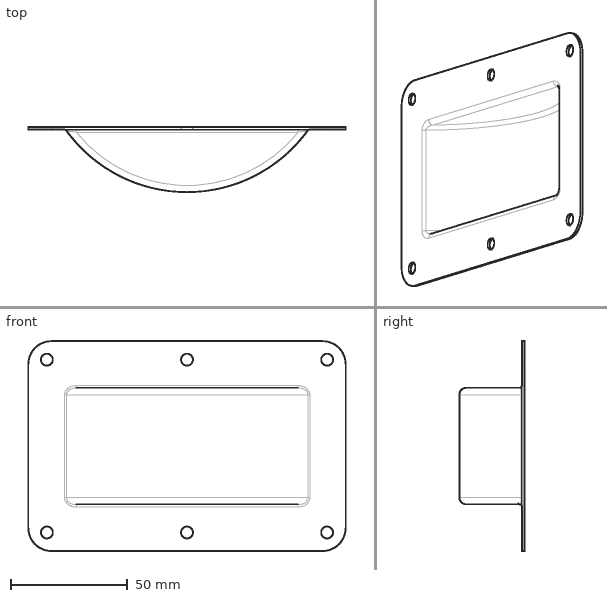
import cadquery as cq
import math

flange_width = 136.0
flange_height = 90.0
flange_corner_radius = 10.0
sheet_thickness = 1.2

hole_columns = 3
hole_rows = 2
hole_diameter = 5.0
hole_pitch_x = 60.0
hole_row_spacing = 74.0

overall_depth = 28.0
dish_depth = overall_depth - sheet_thickness
dish_half_width = 52.0
dish_height = 50.0
dish_radius = (dish_half_width**2 + dish_depth**2) / (2 * dish_depth)
dish_axis_y = dish_radius - dish_depth
rim_radius = 3.0

outer_bend_radius = 1.0
mouth_bend_radius = outer_bend_radius + sheet_thickness

joint_overlap = sheet_thickness / 2
cut_clearance = 1.0
selection_margin = 5.0
selection_tolerance = 0.01


def make_segment(radius, height, edge_radius, chord_y):
    """Cylindrical segment about the dish axis, cut off at chord_y, with rounded curved rims."""
    half_chord = math.sqrt(radius**2 - (dish_axis_y - chord_y) ** 2)
    return (
        cq.Workplane("XY", origin=(0, 0, -height / 2))
        .moveTo(-half_chord, chord_y)
        .threePointArc((0, dish_axis_y - radius), (half_chord, chord_y))
        .close()
        .extrude(height)
        .edges("%CIRCLE")
        .fillet(edge_radius)
    )


def make_flange():
    """Rounded rectangular plate from Y = 0 to Y = sheet_thickness."""
    return (
        cq.Workplane("XZ")
        .rect(flange_width, flange_height)
        .extrude(-sheet_thickness)
        .edges("|Y")
        .fillet(flange_corner_radius)
    )


def round_bend(body, face_y, radius):
    """Round the edges where the dish meets the flange face at Y = face_y."""
    reach_x = dish_half_width + selection_margin
    reach_z = dish_height / 2 + selection_margin
    bend_region = cq.selectors.BoxSelector(
        (-reach_x, face_y - selection_tolerance, -reach_z),
        (reach_x, face_y + selection_tolerance, reach_z),
        boundingbox=True,
    )
    return body.edges(bend_region).fillet(radius)


def make_pressed_sheet():
    """Flange and dish joined, hollowed to sheet thickness and bent smoothly into each other."""
    dish = make_segment(dish_radius, dish_height, rim_radius, joint_overlap)
    body = make_flange().union(dish)
    body = round_bend(body, 0, outer_bend_radius)
    cavity = make_segment(
        dish_radius - sheet_thickness,
        dish_height - 2 * sheet_thickness,
        rim_radius - sheet_thickness,
        sheet_thickness + cut_clearance,
    )
    body = body.cut(cavity)
    return round_bend(body, sheet_thickness, mouth_bend_radius)


def make_hole_cutters():
    """Cylinders through the flange at every mounting hole."""
    return (
        cq.Workplane("XZ")
        .rarray(hole_pitch_x, hole_row_spacing, hole_columns, hole_rows)
        .circle(hole_diameter / 2)
        .extrude(-sheet_thickness)
    )


result = make_pressed_sheet().cut(make_hole_cutters())